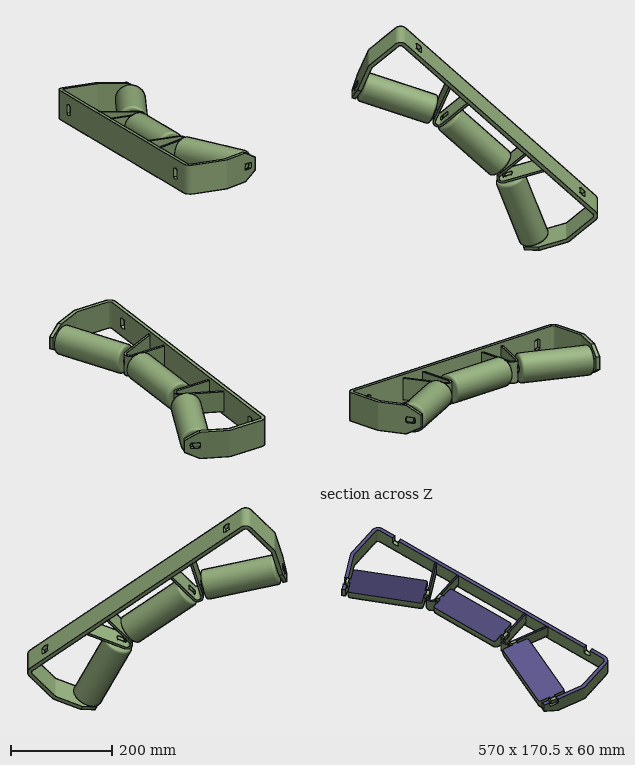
import cadquery as cq
import math

frame_length = 570.0
strip_width = 60.0
trough_angle = 25.0

bar_thickness = 8.0
bend_radius = 14.0
inner_bend_radius = bend_radius - bar_thickness
arm_bend_y = 88.0
arm_tip_y = 170.5
arm_taper_length = 31.0
arm_tip_width = 27.0
mount_slot_x = 233.0
mount_slot_width = 13.5
mount_slot_length = 22.0

roller_diameter = 60.0
roller_length = 150.0
roller_edge_radius = 5.0
shaft_diameter = 16.0
tongue_thickness = 10.0
tongue_clearance = 1.5
end_gap = 4.5
middle_roller_y = 71.0
wing_roller_along_arm = 66.5

bracket_thickness = 4.5
bracket_width = 45.0
bracket_bend_radius = 11.5

shaft_slot_width = 12.0
shaft_slot_length = 20.5
slot_rise = (shaft_slot_length - shaft_diameter) / 2
cut_margin = 1.0

half_length = frame_length / 2
sin_tilt = math.sin(math.radians(trough_angle))
cos_tilt = math.cos(math.radians(trough_angle))
arm_length = (arm_tip_y - arm_bend_y) / cos_tilt
support_distance = roller_length / 2 + end_gap
wing_roller_from_arm = support_distance + bar_thickness
wing_roller_x = half_length - wing_roller_along_arm * sin_tilt - wing_roller_from_arm * cos_tilt
wing_roller_y = arm_bend_y + wing_roller_along_arm * cos_tilt - wing_roller_from_arm * sin_tilt

middle_station = (0, middle_roller_y, 0)


def wing_station(side):
    """Station of the wing roller on the -X (side = -1) or +X (side = 1) end."""
    return (side * wing_roller_x, wing_roller_y, side * trough_angle)


def place(shape, station):
    """Move a shape built along X at the origin to a roller station."""
    x, y, tilt = station
    return shape.rotate((0, 0, 0), (0, 0, 1), tilt).translate((x, y, 0))


def round_bar(plane, diameter, length):
    """Cylinder along the plane normal, centred on the plane."""
    return cq.Workplane(plane).workplane(offset=-length / 2).circle(diameter / 2).extrude(length)


def flatted_bar(plane, diameter, thickness, length):
    """Centred round bar with two flats, its thickness lying along the plane's local X."""
    flats = cq.Workplane(plane).box(thickness, diameter, length)
    return round_bar(plane, diameter, length).intersect(flats)


def shaft_slot(station, reach):
    """Cutter for the slots at both shaft ends, reaching past each support face."""
    bar = flatted_bar("ZY", shaft_slot_length, shaft_slot_width, 2 * (support_distance + reach))
    return place(bar.translate((0, slot_rise, 0)), station)


def make_roller(station):
    """Roller drum with a shaft that ends in two flatted tongues."""
    drum = round_bar("ZY", roller_diameter, roller_length)
    drum = drum.faces("<X or >X").edges().fillet(roller_edge_radius)
    shaft = round_bar("ZY", shaft_diameter, 2 * (support_distance - tongue_clearance))
    tongue_tip = support_distance + bracket_thickness
    tongues = flatted_bar("ZY", shaft_diameter, tongue_thickness, 2 * tongue_tip)
    return place(drum.union(shaft).union(tongues), station)


def upright_prism(points, width):
    """Polygon in XY, extruded along Z and centred on Z = 0."""
    return cq.Workplane("XY").workplane(offset=-width / 2).polyline(points).close().extrude(width)


def round_corner(body, point, radius):
    """Fillet the Z-parallel edge at an XY point."""
    return body.edges(cq.selectors.NearestToPointSelector((*point, 0))).fillet(radius)


def make_frame():
    """Bent bar with tapered arms, bolt holes in the base and shaft slots in the arms."""
    inner_half = half_length - bar_thickness
    inner_bend_y = arm_bend_y - bar_thickness * math.tan(math.radians(trough_angle / 2))
    tip_x = half_length - arm_length * sin_tilt
    outer_corner = (half_length, 0)
    outer_bend = (half_length, arm_bend_y)
    outer_tip = (tip_x, arm_tip_y)
    inner_tip = (tip_x - bar_thickness * cos_tilt, arm_tip_y - bar_thickness * sin_tilt)
    inner_bend = (inner_half, inner_bend_y)
    inner_corner = (inner_half, bar_thickness)
    right_half = [outer_corner, outer_bend, outer_tip, inner_tip, inner_bend, inner_corner]
    left_half = [(-x, y) for x, y in reversed(right_half)]
    frame = upright_prism(right_half + left_half, strip_width)

    for side in (-1, 1):
        for x, y in (outer_corner, outer_bend):
            frame = round_corner(frame, (side * x, y), bend_radius)
        for x, y in (inner_corner, inner_bend):
            frame = round_corner(frame, (side * x, y), inner_bend_radius)
        frame = frame.cut(arm_taper(side, outer_tip))
        frame = frame.cut(mount_slot(side))
        frame = frame.cut(shaft_slot(wing_station(side), bar_thickness + cut_margin))
    return frame


def arm_taper(side, tip):
    """Two wedges that narrow an arm towards its tip."""
    tip_plane = cq.Plane(
        origin=(side * tip[0], tip[1], 0),
        xDir=(side * sin_tilt, -cos_tilt, 0),
        normal=(side * cos_tilt, sin_tilt, 0),
    )
    wedges = cq.Workplane(tip_plane)
    for edge in (-1, 1):
        wedges = wedges.polyline([
            (0, edge * arm_tip_width / 2),
            (0, edge * strip_width / 2),
            (arm_taper_length, edge * strip_width / 2),
        ]).close()
    return wedges.extrude(bar_thickness + cut_margin, both=True)


def mount_slot(side):
    """Flat-sided bolt hole through the base, long in Z."""
    plane = cq.Plane(origin=(side * mount_slot_x, 0, 0), xDir=(1, 0, 0), normal=(0, -1, 0))
    return flatted_bar(plane, mount_slot_length, mount_slot_width, 2 * (bar_thickness + cut_margin))


def make_bracket(side):
    """Hairpin strip standing on the base: an upright leg and a leg facing the wing roller."""
    upright_x = support_distance
    face_x = wing_roller_x - support_distance * cos_tilt
    face_y = wing_roller_y - support_distance * sin_tilt
    tilted_x = face_x + (face_y - bar_thickness) * sin_tilt / cos_tilt

    def wedge(near_x, far_x, radius):
        apex = (side * near_x, bar_thickness + (far_x - near_x) * cos_tilt / sin_tilt)
        feet = [(side * near_x, bar_thickness), (side * far_x, bar_thickness)]
        return round_corner(upright_prism(feet + [apex], bracket_width), apex, radius)

    outer = wedge(upright_x, tilted_x, bracket_bend_radius)
    inner = wedge(
        upright_x + bracket_thickness,
        tilted_x - bracket_thickness / cos_tilt,
        bracket_bend_radius - bracket_thickness,
    )
    bracket = outer.cut(inner)
    for station in (middle_station, wing_station(side)):
        bracket = bracket.cut(shaft_slot(station, bracket_thickness + cut_margin))
    return bracket


frame = make_frame()
brackets = [make_bracket(side) for side in (-1, 1)]
rollers = [make_roller(station) for station in (wing_station(-1), middle_station, wing_station(1))]

result = cq.Compound.makeCompound([body.solids().val() for body in [frame, *brackets, *rollers]])